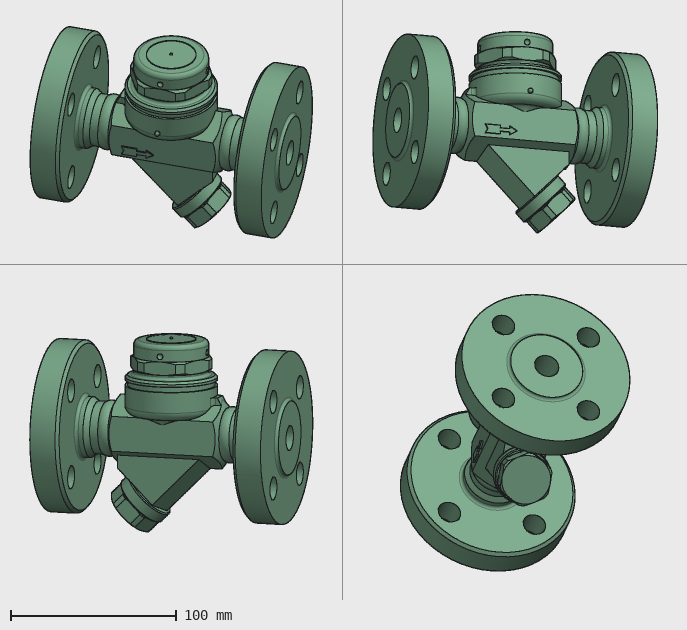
import cadquery as cq
import math

half_length = 75.0
bore_diameter = 15.0
bore_depth = 40.0
flange_diameter = 105.0
flange_face_x = 73.0
flange_back_x = 55.0
flange_chamfer = 2.0
raised_face_radius = 22.5
raised_face_height = half_length - flange_face_x
bolt_hole_diameter = 14.0
bolt_circle_diameter = 75.0
bolt_count = 4
hub_radius = 18.5
hub_fillet = 2.0
hub_end_x = 50.1
pipe_radius = 16.0
pipe_start_x = 46.6
weld_start_x = 41.5
weld_radius = 17.1

bar_across_flats = 37.0
bar_half_length = 35.1
bar_end_slope = 60.0

head_chamfer_angle = 30.0

cup_radius = 27.98
cup_top_z = 28.6
cup_bottom_z = 10.6
cup_fillet = 5.4
cup_base_radius = 18.5
cup_base_fillet = 4.2
tab_width = 10.2
tab_top_z = 23.0
tab_bottom_z = 16.5
tab_fillet = 2.7
cup_pin_diameter = 3.0
cup_pin_z = 17.7
cup_pin_reach = 30.5

arrow_height = 1.0
arrow_tail_x = -25.5
arrow_neck_x = -16.0
arrow_head_x = -10.0
arrow_tip_x = -5.4
arrow_notch = 1.5
arrow_z = -5.5
arrow_tail_half = 2.7
arrow_shaft_half = 1.0

branch_axis_z = -24.9
branch_slope = 45.0
branch_across_flats = 26.0
branch_start = -7.5
branch_end = 36.6
branch_side_x = 30.0
plug_ring_diameter = 34.0
plug_ring_start = 36.5
plug_ring_end = 44.7
plug_ring_chamfer = 0.8
plug_across_flats = 30.0
plug_corner_radius = 16.4
plug_end = 54.8

spigot_radius = 26.48
ring_radius = cup_radius
ring_bottom_z = 32.0
ring_chamfer_z = 33.6
ring_top_z = 35.1
neck_radius = 22.4
neck_fillet = 2.1
nut_bottom_z = 38.2
nut_top_z = 46.5
nut_across_flats = 46.0
nut_corner_radius = 25.0
cap_radius = 22.72
cap_top_z = 56.5
cap_fillet = 3.0
disc_diameter = 30.0
disc_height = 0.5
nub_diameter = 1.8
dimple_diameter = 3.6
dimple_z = 49.6
dimple_count = 4


def cylinder(radius, bottom_z, top_z):
    return cq.Workplane("XY").workplane(offset=bottom_z).circle(radius).extrude(top_z - bottom_z)


def hexagon(across_flats, plane, length):
    """A hexagonal prism with two flats parallel to the plane's local X axis."""
    return cq.Workplane(plane).polygon(6, across_flats / math.cos(math.pi / 6)).extrude(length)


def turned_nut(plane, across_flats, corner_radius, length):
    """A hexagon whose corners are turned down, and chamfered until the end faces are round."""
    face_radius = across_flats / 2
    chamfer = (corner_radius - face_radius) * math.tan(math.radians(head_chamfer_angle))
    blank = (
        cq.Workplane(plane)
        .transformed(rotate=(90, 0, 0))
        .polyline([
            (0, 0),
            (face_radius, 0),
            (corner_radius, chamfer),
            (corner_radius, length - chamfer),
            (face_radius, length),
            (0, length),
        ])
        .close()
        .revolve(360, (0, 0, 0), (0, 1, 0))
    )
    return hexagon(across_flats, plane, length).intersect(blank)


def dome(diameter, center):
    return cq.Workplane("XY").sphere(diameter / 2).translate(center)


def make_pipe_end():
    """Flange, hub, pipe and weld bead on the -X side, with its bolt holes."""
    flange_radius = flange_diameter / 2
    step = raised_face_height * math.sin(math.pi / 4)
    profile = (
        cq.Workplane("XY")
        .moveTo(-half_length, 0)
        .lineTo(-half_length, raised_face_radius)
        .threePointArc(
            (-half_length + step, raised_face_radius + raised_face_height - step),
            (-flange_face_x, raised_face_radius + raised_face_height),
        )
        .lineTo(-flange_face_x, flange_radius)
        .lineTo(-flange_back_x - flange_chamfer, flange_radius)
        .lineTo(-flange_back_x, flange_radius - flange_chamfer)
        .lineTo(-flange_back_x, hub_radius + hub_fillet)
        .radiusArc((-flange_back_x + hub_fillet, hub_radius), -hub_fillet)
        .lineTo(-hub_end_x, hub_radius)
        .lineTo(-pipe_start_x, pipe_radius)
        .lineTo(-weld_start_x, pipe_radius)
        .threePointArc(
            (-(weld_start_x + bar_half_length) / 2, weld_radius),
            (-bar_half_length, pipe_radius),
        )
        .lineTo(-bar_half_length, 0)
        .close()
    )
    bolt_holes = (
        cq.Workplane("YZ", origin=(-half_length, 0, 0))
        .polarArray(bolt_circle_diameter / 2, 45, 360, bolt_count)
        .circle(bolt_hole_diameter / 2)
        .extrude(half_length - bar_half_length)
    )
    return profile.revolve(360, (0, 0, 0), (1, 0, 0)).cut(bolt_holes)


def make_turned_blank(outer_radius):
    """Round bar with the cones that cut back both ends of the hexagonal bar."""
    cone_length = (outer_radius - pipe_radius) / math.tan(math.radians(bar_end_slope))
    return (
        cq.Workplane("XY")
        .polyline([
            (-bar_half_length, 0),
            (-bar_half_length, pipe_radius),
            (-bar_half_length + cone_length, outer_radius),
            (bar_half_length - cone_length, outer_radius),
            (bar_half_length, pipe_radius),
            (bar_half_length, 0),
        ])
        .close()
        .revolve(360, (0, 0, 0), (1, 0, 0))
    )


def make_bar():
    bar_plane = cq.Plane(origin=(-bar_half_length, 0, 0), xDir=(0, 0, 1), normal=(1, 0, 0))
    bar = hexagon(bar_across_flats, bar_plane, 2 * bar_half_length)
    return bar.intersect(make_turned_blank(bar_across_flats))


def make_cup():
    """Round cup flowing into a narrower base, with a tab on the -X side and a round-ended pin."""
    profile = (
        cq.Workplane("XZ")
        .moveTo(0, cup_top_z)
        .lineTo(cup_radius, cup_top_z)
        .lineTo(cup_radius, cup_bottom_z + cup_fillet)
        .radiusArc((cup_radius - cup_fillet, cup_bottom_z), cup_fillet)
        .lineTo(cup_base_radius + cup_base_fillet, cup_bottom_z)
        .radiusArc((cup_base_radius, cup_bottom_z - cup_base_fillet), -cup_base_fillet)
        .lineTo(0, cup_bottom_z - cup_base_fillet)
        .close()
    )
    cup = profile.revolve(360, (0, 0, 0), (0, 1, 0))
    tab = (
        cq.Workplane("XY")
        .box(bar_half_length, tab_width, tab_top_z - tab_bottom_z, centered=(False, True, False))
        .translate((-bar_half_length, 0, tab_bottom_z))
        .intersect(make_turned_blank(bar_across_flats))
    )
    tab_corner_x = -math.sqrt(cup_radius**2 - (tab_width / 2) ** 2)
    cup = cup.union(tab)
    for side in (-1, 1):
        corner = (tab_corner_x, side * tab_width / 2, (tab_bottom_z + tab_top_z) / 2)
        cup = cup.edges(cq.selectors.NearestToPointSelector(corner)).fillet(tab_fillet)

    dome_y = cup_pin_diameter / 2 - cup_pin_reach
    stem = cq.Workplane("XZ", origin=(0, 0, cup_pin_z)).circle(cup_pin_diameter / 2).extrude(-dome_y)
    return cup.union(stem).union(dome(cup_pin_diameter, (0, dome_y, cup_pin_z)))


def make_flow_arrow():
    return (
        cq.Workplane("XZ", origin=(0, 0, arrow_z))
        .polyline([
            (arrow_tail_x, arrow_tail_half),
            (arrow_neck_x, arrow_tail_half),
            (arrow_neck_x, arrow_shaft_half),
            (arrow_head_x, arrow_shaft_half),
            (arrow_head_x, arrow_tail_half),
            (arrow_tip_x, 0),
            (arrow_head_x, -arrow_tail_half),
            (arrow_head_x, -arrow_shaft_half),
            (arrow_neck_x, -arrow_shaft_half),
            (arrow_neck_x, -arrow_tail_half),
            (arrow_tail_x, -arrow_tail_half),
            (arrow_tail_x + arrow_notch, 0),
        ])
        .close()
        .extrude(bar_across_flats / 2 + arrow_height)
    )


def branch_plane(distance):
    """Plane square to the branch axis; its local X lies in the XZ plane."""
    slope = math.radians(branch_slope)
    middle = branch_axis_z / 2
    direction = (math.cos(slope), 0, -math.sin(slope))
    origin = (middle + distance * direction[0], 0, middle + distance * direction[2])
    return cq.Plane(origin=origin, xDir=(math.sin(slope), 0, math.cos(slope)), normal=direction)


def make_branch():
    """Branch with a half-hexagon underside, ending in a ring and a hexagonal plug head."""
    half_width = branch_across_flats / 2
    ridge = branch_across_flats / math.sqrt(3)
    branch = (
        cq.Workplane(branch_plane(branch_start))
        .polyline([
            (-ridge, 0),
            (-ridge / 2, -half_width),
            (branch_side_x, -half_width),
            (branch_side_x, half_width),
            (-ridge / 2, half_width),
        ])
        .close()
        .extrude(branch_end - branch_start)
    )
    side_limit = cq.Workplane("XY").box(
        2 * branch_side_x, bar_across_flats, flange_diameter
    ).translate((0, 0, -flange_diameter / 2))
    ring = (
        cq.Workplane(branch_plane(plug_ring_start))
        .circle(plug_ring_diameter / 2)
        .extrude(plug_ring_end - plug_ring_start)
        .edges()
        .chamfer(plug_ring_chamfer)
    )
    head = turned_nut(
        branch_plane(plug_ring_end),
        plug_across_flats,
        plug_corner_radius,
        plug_end - plug_ring_end,
    )
    return branch.intersect(side_limit).union(ring).union(head)


def make_body():
    pipe_end = make_pipe_end()
    bore = (
        cq.Workplane("YZ", origin=(-half_length, 0, 0)).circle(bore_diameter / 2).extrude(bore_depth)
    )
    return (
        make_bar()
        .union(make_cup())
        .union(make_flow_arrow())
        .union(make_branch())
        .union(pipe_end)
        .union(pipe_end.mirror("YZ"))
        .cut(bore)
        .cut(bore.mirror("YZ"))
    )


def make_cover():
    """Spigot, clamping ring, hexagonal nut and domed cap, turned about Z."""
    collar = (
        cq.Workplane("XZ")
        .moveTo(0, cup_top_z)
        .lineTo(spigot_radius, cup_top_z)
        .lineTo(spigot_radius, ring_bottom_z)
        .lineTo(ring_radius, ring_bottom_z)
        .lineTo(ring_radius, ring_chamfer_z)
        .lineTo(spigot_radius, ring_top_z)
        .lineTo(neck_radius + neck_fillet, ring_top_z)
        .radiusArc((neck_radius, ring_top_z + neck_fillet), neck_fillet)
        .lineTo(neck_radius, nut_bottom_z)
        .lineTo(0, nut_bottom_z)
        .close()
        .revolve(360, (0, 0, 0), (0, 1, 0))
    )
    nut_plane = cq.Plane(origin=(0, 0, nut_bottom_z), xDir=(1, 0, 0), normal=(0, 0, 1))
    nut = turned_nut(
        nut_plane, nut_across_flats, nut_corner_radius, nut_top_z - nut_bottom_z
    )
    cap = cylinder(cap_radius, nut_top_z, cap_top_z).faces(">Z").edges().fillet(cap_fillet)
    disc_top_z = cap_top_z + disc_height
    disc = cylinder(disc_diameter / 2, cap_top_z, disc_top_z)
    cover = collar.union(nut).union(cap).union(disc).union(dome(nub_diameter, (0, 0, disc_top_z)))
    for index in range(dimple_count):
        angle = index * 2 * math.pi / dimple_count
        center = (cap_radius * math.cos(angle), cap_radius * math.sin(angle), dimple_z)
        cover = cover.cut(dome(dimple_diameter, center), clean=False)
    return cover


body = make_body()
cover = make_cover()
result = cq.Compound.makeCompound([body.val(), cover.val()])